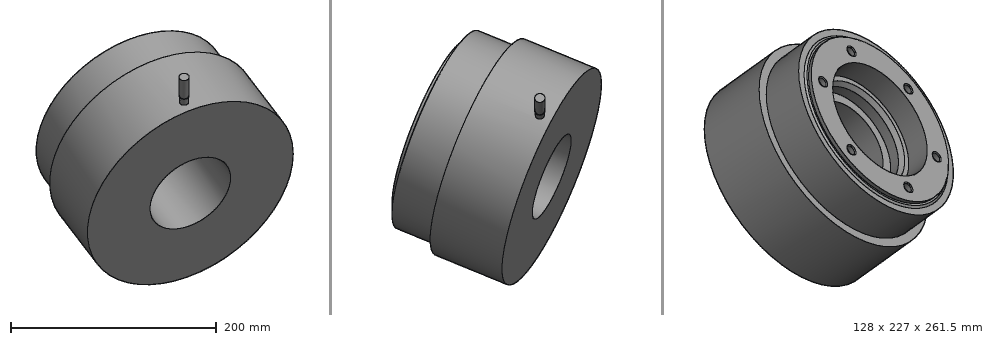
import cadquery as cq
import math

total_height = 261.5
body_length = 128.0
rim_diameter = 227.0
rim_radius = rim_diameter / 2
rim_start = 51.0
shoulder_radius = 104.0
shoulder_start = 5.5
seat_outer_radius = 96.7
seat_inner_radius = 94.4
spigot_radius = 92.3
spigot_length = 4.0

entry_bore_radius = 63.5
entry_bore_depth = 26.0
taper_mouth_radius = 58.0
middle_bore_radius = 54.5
taper_end = 31.0
middle_bore_end = 42.0
through_bore_radius = 44.5

bolt_count = 6
bolt_circle_radius = 76.3
bolt_hole_radius = 5.0
bolt_hole_depth = 19.9
bolt_hole_chamfer = 1.0

handle_x = 115.3
grip_radius = 5.0
grip_length = 25.5
stem_radius = 4.5
handle_top = total_height - rim_radius
stem_embed = 7.8


def revolve_around_x(half_section):
    """Turn a closed half section, given as (x, radius) points, around the X axis."""
    outline = cq.Workplane("XY").polyline(half_section).close()
    return outline.revolve(360, (0, 0, 0), (1, 0, 0))


def make_body():
    """Stepped ring with its stepped and tapered bore."""
    half_section = [
        (0, entry_bore_radius),
        (0, spigot_radius),
        (spigot_length, spigot_radius),
        (spigot_length, seat_inner_radius),
        (shoulder_start, seat_outer_radius),
        (shoulder_start, shoulder_radius),
        (rim_start, shoulder_radius),
        (rim_start, rim_radius),
        (body_length, rim_radius),
        (body_length, through_bore_radius),
        (middle_bore_end, through_bore_radius),
        (middle_bore_end, middle_bore_radius),
        (taper_end, middle_bore_radius),
        (entry_bore_depth, taper_mouth_radius),
        (entry_bore_depth, entry_bore_radius),
    ]
    return revolve_around_x(half_section)


def make_bolt_hole(angle):
    """Blind hole along X with a chamfered mouth, at an angle around the axis."""
    half_section = [
        (0, 0),
        (0, bolt_hole_radius + bolt_hole_chamfer),
        (bolt_hole_chamfer, bolt_hole_radius),
        (bolt_hole_depth, bolt_hole_radius),
        (bolt_hole_depth, 0),
    ]
    y = bolt_circle_radius * math.cos(angle)
    z = bolt_circle_radius * math.sin(angle)
    return revolve_around_x(half_section).translate((0, y, z))


def make_handle():
    """Upright grip on a thinner stem that is sunk into the rim."""
    grip_bottom = handle_top - grip_length
    stem_bottom = rim_radius - stem_embed
    stem = cq.Workplane("XY").circle(stem_radius).extrude(grip_bottom - stem_bottom)
    grip = cq.Workplane("XY").circle(grip_radius).extrude(grip_length)
    stem = stem.translate((handle_x, 0, stem_bottom))
    grip = grip.translate((handle_x, 0, grip_bottom))
    return stem.union(grip)


result = make_body()
for index in range(bolt_count):
    result = result.cut(make_bolt_hole(index * 2 * math.pi / bolt_count))
result = result.union(make_handle())